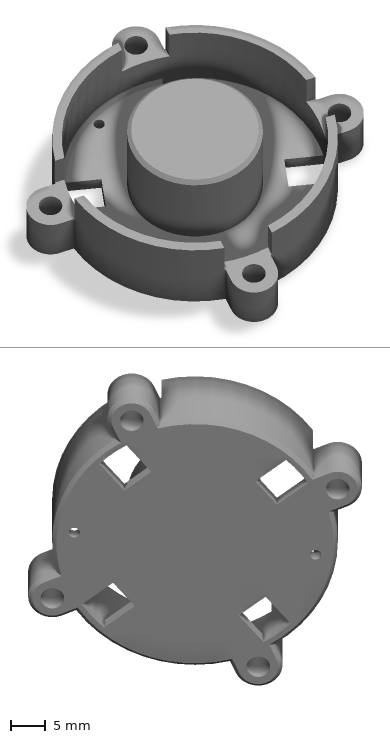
import cadquery as cq
import math

outer_radius = 20.6
inner_radius = 19.2
wall_height = 12.6
floor_thickness = 2.0
edge_break = 0.6
beyond_wall = 2 * outer_radius

hub_radius = 9.8
hub_height = 14.6

ear_angles = (45, 135, 225, 315)
ear_distance = 22.5
ear_radius = 3.5
ear_height = 7.5
ear_hole_radius = 1.7
gap_width = 7.4

window_shift = 0.15
windows = (
    (30, window_shift),
    (120, -window_shift),
    (210, window_shift),
    (300, -window_shift),
)
window_width = 5.0
window_inner_distance = 13.3

broken_corner_start = 120
broken_corner_end = 210

pin_angles = (165, 345)
pin_distance = 17.5
pin_radius = 0.8


def polar(distance, angle):
    """X and Y of a point at a distance from the axis and an angle in degrees."""
    return (
        distance * math.cos(math.radians(angle)),
        distance * math.sin(math.radians(angle)),
    )


def cylinder(radius, height, base=0.0):
    """Upright cylinder on the cup axis."""
    return cq.Workplane("XY", origin=(0, 0, base)).circle(radius).extrude(height)


def polar_cylinder(distance, radius, height, angle):
    """Upright cylinder away from the axis, starting at the underside."""
    return cq.Workplane("XY").center(*polar(distance, angle)).circle(radius).extrude(height)


def radial_bar(start, end, width, height, angle, base=0.0, shift=0.0):
    """Box running outwards from start to end along the given direction."""
    bar = cq.Workplane("XY").box(end - start, width, height, centered=(False, True, False))
    return bar.translate((start, shift, base)).rotate((0, 0, 0), (0, 0, 1), angle)


def make_body():
    """Solid disc with rounded ears and a chamfer around the underside."""
    body = cylinder(outer_radius, wall_height)
    for angle in ear_angles:
        body = body.union(radial_bar(0, ear_distance, 2 * ear_radius, ear_height, angle))
        body = body.union(polar_cylinder(ear_distance, ear_radius, ear_height, angle))
    return body.faces("<Z").chamfer(edge_break)


def make_pocket():
    """Inside of the cup, with the chamfer left standing on part of the floor corner."""
    plain = cylinder(inner_radius, wall_height - floor_thickness, floor_thickness)
    corner_ring = plain.cut(plain.faces("<Z").chamfer(edge_break))
    sector = (
        cq.Workplane("XY")
        .polyline([
            (0, 0),
            polar(beyond_wall, broken_corner_start),
            polar(beyond_wall, broken_corner_end),
        ])
        .close()
        .extrude(wall_height)
    )
    return plain.cut(corner_ring.intersect(sector))


def make_hub():
    """Central post standing on the floor, chamfered at the top."""
    hub = cylinder(hub_radius, hub_height - floor_thickness, floor_thickness)
    return hub.faces(">Z").chamfer(edge_break)


def make_window(angle, shift):
    """One floor window, bounded on the outside by the inner wall."""
    bar = radial_bar(
        window_inner_distance, outer_radius, window_width, wall_height, angle, shift=shift
    )
    return bar.intersect(cylinder(inner_radius, wall_height))


def make_wall_gap(angle):
    """Opening in the wall above one ear."""
    gap_height = wall_height - ear_height
    return radial_bar(hub_radius, beyond_wall, gap_width, gap_height, angle, base=ear_height)


result = make_body().cut(make_pocket())
for ear_angle in ear_angles:
    result = result.cut(make_wall_gap(ear_angle))
    result = result.cut(polar_cylinder(ear_distance, ear_hole_radius, ear_height, ear_angle))
for window_angle, sideways_shift in windows:
    result = result.cut(make_window(window_angle, sideways_shift))
for pin_angle in pin_angles:
    result = result.cut(polar_cylinder(pin_distance, pin_radius, wall_height, pin_angle))
result = result.union(make_hub())